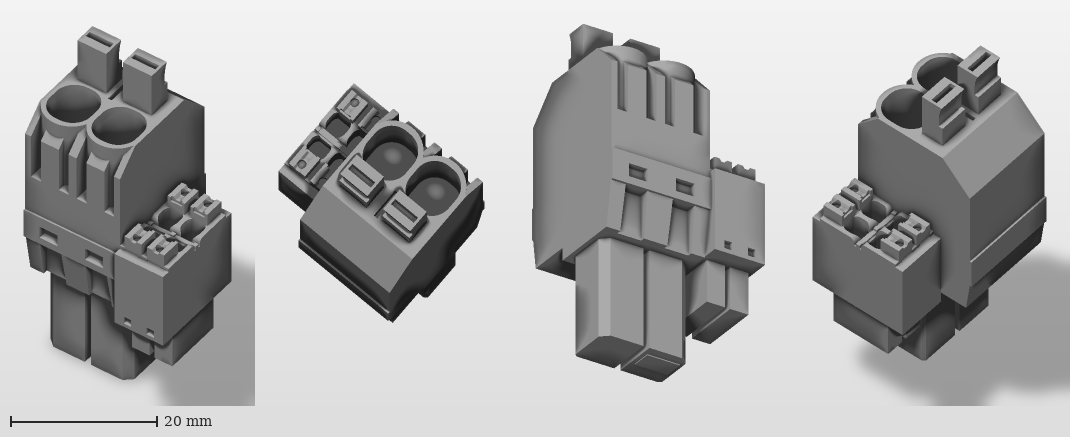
import cadquery as cq


POWER_WIDTH = 16.0
POWER_PITCH = 7.65
POWER_CENTERS = [(POWER_WIDTH - POWER_PITCH) / 2, (POWER_WIDTH + POWER_PITCH) / 2]
TOP_Z = 29.25
BACK_Y = 19.9
FRONT_CHAMFER = 3.55
BACK_CHAMFER = 4.85
BAND_BOTTOM_Z = 6.9
BAND_TOP_Z = 11.8
BAND_RISE = 0.3
SKIRT_TOP_INSET = 0.1
SKIRT_BOTTOM_INSET = 1.25
BACK_SKIRT_INSET = 0.7
BACK_STEP_Y = 12.4
BACK_STEP_Z = 2.0

ENTRY_Y = 5.65
ENTRY_LENGTH = 7.55
ENTRY_WIDTH = 6.85
ENTRY_CORNER_RADIUS = 3.0
COLLAR_Y = 5.2
COLLAR_RADIUS = 4.25
COLLAR_BOTTOM_Z = 18.25
POCKET_WIDTH = 6.3
POCKET_RIB_WIDTH = 3.0

SLIT_X = 7.65
SLIT_WIDTH = 0.6
SLIT_FRONT_Y = 9.2
SLIT_LENGTH = 4.55
SLIT_DEPTH = 1.55
WINDOW_WIDTH = 3.0
WINDOW_HEIGHT = 2.05
WINDOW_BOTTOM_Z = 8.0
WINDOW_DEPTH = 1.15
PANEL_TOP_WIDTH = 3.55
PANEL_BOTTOM_WIDTH = 3.85
PANEL_Y = 2.0

PLUG_LENGTH = 15.35
PLUG_WIDTH = 6.55
PLUG_GAP = 1.0
PLUG_FRONT_Y = 3.6
PLUG_BACK_Y = 11.0
PLUG_CHAMFER_X = 1.25
PLUG_CHAMFER_Y = 1.1
PLUG_BACK_CHAMFER = 0.4
TIP_WIDTH = 5.3
TIP_DEPTH = 3.2
TIP_FRONT_Y = 5.2
TIP_HEIGHT = 0.15

LEVER_WIDTH = 4.85
LEVER_FRONT_Y = 9.9
LEVER_BACK_Y = 13.6
LEVER_HEIGHT = 7.35
NOTCH_BOTTOM = 3.45
NOTCH_CURVE_START = 4.9
NOTCH_DEPTH = 0.7
NOTCH_LIP = 0.15
LEVER_SLOT_WIDTH = 4.05
LEVER_SLOT_THICKNESS = 0.95
LEVER_SLOT_DEPTH = 1.55

SIGNAL_WIDTH = 8.2
SIGNAL_PITCH = 3.8
SIGNAL_MID_X = POWER_WIDTH + SIGNAL_WIDTH / 2
SIGNAL_CENTERS = [SIGNAL_MID_X - SIGNAL_PITCH / 2, SIGNAL_MID_X + SIGNAL_PITCH / 2]
SIGNAL_FRONT_Y = -1.3
SIGNAL_DEPTH = 16.05
SIGNAL_MID_Y = SIGNAL_FRONT_Y + SIGNAL_DEPTH / 2
SIGNAL_BOTTOM_Z = 0.15
LEDGE_Z = 12.85
LEDGE_DEPTH = 1.3
DECK_Z = 13.45
DECK_HALF_DEPTH = SIGNAL_DEPTH / 2 - LEDGE_DEPTH
CHANNEL_WIDTH = 1.25
CHANNEL_DEPTH = 1.25
CHANNEL_FILLET = 0.8
CHANNEL_RIB_WIDTH = 0.6
CHANNEL_RIB_HEIGHT = 0.6
RIB_NOTCH_LENGTH = 3.15
RIB_NOTCH_DEPTH = 0.3
SIGNAL_ENTRY_OFFSET = 2.1
SIGNAL_ENTRY_LENGTH = 3.45
SIGNAL_ENTRY_WIDTH = 3.1
SIGNAL_ENTRY_CORNER_RADIUS = 1.35
SIGNAL_ENTRY_DEPTH = 4.15
SIGNAL_WINDOW_SIZE = 1.25
SIGNAL_WINDOW_BOTTOM_Z = 0.8
SIGNAL_WINDOW_DEPTH = 0.8
SIGNAL_PLUG_WIDTH = 2.95
SIGNAL_PLUG_DEPTH = 9.75
SIGNAL_PLUG_BOTTOM_Z = -6.4

SIGNAL_LEVER_WIDTH = 2.85
SIGNAL_LEVER_LENGTH = 3.3
SIGNAL_LEVER_TOP_Z = 15.55
SIGNAL_LEVER_GROOVE_TOP = 1.25
SIGNAL_LEVER_GROOVE_BOTTOM = 0.6
SIGNAL_LEVER_GROOVE_DEPTH = 0.4
SIGNAL_LEVER_HOLE_DIAMETER = 1.25
SIGNAL_LEVER_HOLE_INSET = 1.1
SIGNAL_LEVER_HOLE_DEPTH = 1.05
SIGNAL_LEVER_END_NOTCH_WIDTH = 1.9
SIGNAL_LEVER_END_NOTCH_LENGTH = 0.3
SIGNAL_LEVER_END_NOTCH_DEPTH = 0.8
SIGNAL_LEVER_FOOT_WIDTH = 2.2
SIGNAL_LEVER_FOOT_HEIGHT = 0.3
SIGNAL_LEVER_FOOT_DEPTH = 0.5


def block(x0, x1, y0, y1, z0, z1):
    """Box between two corners."""
    return cq.Workplane("XY").box(x1 - x0, y1 - y0, z1 - z0, centered=False).translate((x0, y0, z0))


def block_on(x_mid, width, y0, y1, z0, z1):
    """Box centred in X on x_mid; y0 and y1 may come in either order."""
    return block(x_mid - width / 2, x_mid + width / 2, min(y0, y1), max(y0, y1), z0, z1)


def cylinder(x, y, radius, z0, z1):
    """Upright cylinder between two heights."""
    return cq.Workplane("XY").circle(radius).extrude(z1 - z0).translate((x, y, z0))


def rounded_block(x, y, width, length, corner_radius, z0, z1):
    """Box centred on (x, y) with rounded upright corners."""
    box = block_on(x, width, y - length / 2, y + length / 2, z0, z1)
    return box.edges("|Z").fillet(corner_radius)


def power_body():
    """Side profile of the power section, extruded over its width."""
    profile = [
        (SKIRT_BOTTOM_INSET, 0),
        (SKIRT_TOP_INSET, BAND_BOTTOM_Z),
        (-BAND_RISE, BAND_BOTTOM_Z),
        (-BAND_RISE, BAND_TOP_Z),
        (0, BAND_TOP_Z),
        (0, TOP_Z - FRONT_CHAMFER),
        (FRONT_CHAMFER, TOP_Z),
        (BACK_Y - BACK_CHAMFER, TOP_Z),
        (BACK_Y, TOP_Z - BACK_CHAMFER),
        (BACK_Y, BAND_TOP_Z),
        (BACK_Y + BAND_RISE, BAND_TOP_Z),
        (BACK_Y + BAND_RISE, BAND_BOTTOM_Z),
        (BACK_Y, BAND_BOTTOM_Z),
        (BACK_Y - BACK_SKIRT_INSET, BACK_STEP_Z),
        (BACK_STEP_Y, BACK_STEP_Z),
        (BACK_STEP_Y, 0),
    ]
    return cq.Workplane("YZ").polyline(profile).close().extrude(POWER_WIDTH)


def add_collar(body, x):
    """Round collar standing in a front pocket that keeps a rib in the middle."""
    collar = cylinder(x, COLLAR_Y, COLLAR_RADIUS, COLLAR_BOTTOM_Z, TOP_Z)
    collar = collar.intersect(block(0, POWER_WIDTH, 0, BACK_Y, 0, TOP_Z))
    pocket = block_on(x, POCKET_WIDTH, 0, ENTRY_Y, COLLAR_BOTTOM_Z, TOP_Z)
    rib = block_on(x, POCKET_RIB_WIDTH, 0, ENTRY_Y, COLLAR_BOTTOM_Z, TOP_Z)
    return body.cut(pocket.cut(rib)).union(collar)


def power_entry(x):
    """Cutter for the wire hole in a collar."""
    return rounded_block(x, ENTRY_Y, ENTRY_WIDTH, ENTRY_LENGTH, ENTRY_CORNER_RADIUS, COLLAR_BOTTOM_Z, TOP_Z)


def skirt_panel(x):
    """Cutter for the recessed panel in the front skirt, slightly wider at the bottom."""
    outline = [
        (x - PANEL_BOTTOM_WIDTH / 2, 0),
        (x + PANEL_BOTTOM_WIDTH / 2, 0),
        (x + PANEL_TOP_WIDTH / 2, BAND_BOTTOM_Z),
        (x - PANEL_TOP_WIDTH / 2, BAND_BOTTOM_Z),
    ]
    return cq.Workplane("XZ").polyline(outline).close().extrude(-PANEL_Y)


def band_window(x):
    """Cutter for the test window in the front band."""
    back_y = WINDOW_DEPTH - BAND_RISE
    return block_on(x, WINDOW_WIDTH, -BAND_RISE, back_y, WINDOW_BOTTOM_Z, WINDOW_BOTTOM_Z + WINDOW_HEIGHT)


def power_plug(outer_x, inward):
    """Plug with chamfered outer edges; inward (+1 or -1) is the X direction to the other plug."""
    outline = [
        (outer_x + inward * PLUG_CHAMFER_X, PLUG_FRONT_Y),
        (outer_x + inward * PLUG_WIDTH, PLUG_FRONT_Y),
        (outer_x + inward * PLUG_WIDTH, PLUG_BACK_Y),
        (outer_x + inward * PLUG_BACK_CHAMFER, PLUG_BACK_Y),
        (outer_x, PLUG_BACK_Y - PLUG_BACK_CHAMFER),
        (outer_x, PLUG_FRONT_Y + PLUG_CHAMFER_Y),
    ]
    return cq.Workplane("XY").polyline(outline).close().extrude(-PLUG_LENGTH)


def make_power_section():
    body = power_body()
    for x in POWER_CENTERS:
        body = add_collar(body, x)
    for x in POWER_CENTERS:
        body = body.cut(power_entry(x))
        body = body.cut(skirt_panel(x)).cut(band_window(x))

    slit_back_y = SLIT_FRONT_Y + SLIT_LENGTH
    body = body.cut(block_on(SLIT_X, SLIT_WIDTH, SLIT_FRONT_Y, slit_back_y, TOP_Z - SLIT_DEPTH, TOP_Z))

    plug_reach = PLUG_GAP / 2 + PLUG_WIDTH
    body = body.union(power_plug(POWER_WIDTH / 2 - plug_reach, 1))
    body = body.union(power_plug(POWER_WIDTH / 2 + plug_reach, -1))

    tip = block_on(POWER_CENTERS[1], TIP_WIDTH, TIP_FRONT_Y, TIP_FRONT_Y + TIP_DEPTH,
                   -PLUG_LENGTH - TIP_HEIGHT, -PLUG_LENGTH)
    return body.union(tip)


def signal_deck():
    """Raised deck split by a round-edged channel, with a notched rib on the channel floor."""
    x_end = POWER_WIDTH + SIGNAL_WIDTH
    floor_z = DECK_Z - CHANNEL_DEPTH
    rib_z = floor_z + CHANNEL_RIB_HEIGHT
    y0 = SIGNAL_MID_Y - DECK_HALF_DEPTH
    y1 = SIGNAL_MID_Y + DECK_HALF_DEPTH
    channel_y0 = SIGNAL_MID_Y - CHANNEL_WIDTH / 2
    channel_y1 = SIGNAL_MID_Y + CHANNEL_WIDTH / 2

    front = block(POWER_WIDTH, x_end, y0, channel_y0, floor_z, DECK_Z)
    front = front.edges(">Y and >Z").fillet(CHANNEL_FILLET)
    back = block(POWER_WIDTH, x_end, channel_y1, y1, floor_z, DECK_Z)
    back = back.edges("<Y and >Z").fillet(CHANNEL_FILLET)

    rib_y0 = SIGNAL_MID_Y - CHANNEL_RIB_WIDTH / 2
    rib_y1 = SIGNAL_MID_Y + CHANNEL_RIB_WIDTH / 2
    rib = block(POWER_WIDTH, x_end, rib_y0, rib_y1, floor_z, rib_z)
    for x in SIGNAL_CENTERS:
        rib = rib.cut(block_on(x, RIB_NOTCH_LENGTH, rib_y0, rib_y1, rib_z - RIB_NOTCH_DEPTH, rib_z))
    return front.union(back).union(rib)


def signal_entry(x, side):
    """Cutter for a signal wire hole, ending flat at the channel and the lever."""
    channel_y = SIGNAL_MID_Y + side * CHANNEL_WIDTH / 2
    lever_y = SIGNAL_MID_Y + side * (DECK_HALF_DEPTH - SIGNAL_LEVER_LENGTH)
    bottom_z = DECK_Z - SIGNAL_ENTRY_DEPTH
    entry_y = SIGNAL_MID_Y + side * SIGNAL_ENTRY_OFFSET
    hole = rounded_block(x, entry_y, SIGNAL_ENTRY_WIDTH, SIGNAL_ENTRY_LENGTH, SIGNAL_ENTRY_CORNER_RADIUS,
                         bottom_z, DECK_Z)
    limits = block_on(x, SIGNAL_ENTRY_WIDTH, channel_y, lever_y, bottom_z, DECK_Z)
    return hole.intersect(limits)


def signal_lever_blank(x, side):
    """Plain lever block on the front (side -1) or back (side +1) row."""
    outer_y = SIGNAL_MID_Y + side * DECK_HALF_DEPTH
    inner_y = outer_y - side * SIGNAL_LEVER_LENGTH
    return block_on(x, SIGNAL_LEVER_WIDTH, outer_y, inner_y, LEDGE_Z, SIGNAL_LEVER_TOP_Z)


def make_signal_section():
    back_y = SIGNAL_FRONT_Y + SIGNAL_DEPTH
    floor_z = DECK_Z - CHANNEL_DEPTH
    x_end = POWER_WIDTH + SIGNAL_WIDTH
    body = block(POWER_WIDTH, x_end, SIGNAL_FRONT_Y, back_y, SIGNAL_BOTTOM_Z, floor_z)
    for y0 in [SIGNAL_FRONT_Y, back_y - LEDGE_DEPTH]:
        body = body.union(block(POWER_WIDTH, x_end, y0, y0 + LEDGE_DEPTH, floor_z, LEDGE_Z))
    body = body.union(signal_deck())

    plug_y0 = SIGNAL_MID_Y - SIGNAL_PLUG_DEPTH / 2
    plug_y1 = SIGNAL_MID_Y + SIGNAL_PLUG_DEPTH / 2
    for x in SIGNAL_CENTERS:
        body = body.union(block_on(
            x, SIGNAL_PLUG_WIDTH, plug_y0, plug_y1, SIGNAL_PLUG_BOTTOM_Z, SIGNAL_BOTTOM_Z))
        body = body.cut(block_on(
            x, SIGNAL_WINDOW_SIZE, SIGNAL_FRONT_Y, SIGNAL_FRONT_Y + SIGNAL_WINDOW_DEPTH,
            SIGNAL_WINDOW_BOTTOM_Z, SIGNAL_WINDOW_BOTTOM_Z + SIGNAL_WINDOW_SIZE))
        for side in [-1, 1]:
            body = body.cut(signal_entry(x, side)).cut(signal_lever_blank(x, side))
    return body


def make_housing():
    """Power and signal sections moulded as one piece."""
    return make_power_section().union(make_signal_section())


def make_power_lever(x):
    """Lever standing on the housing top, with a curved finger notch and a tool slot."""
    notch_y = LEVER_BACK_Y - NOTCH_DEPTH
    lever = (
        cq.Workplane("YZ")
        .moveTo(notch_y, NOTCH_BOTTOM)
        .lineTo(notch_y, NOTCH_CURVE_START)
        .tangentArcPoint((LEVER_BACK_Y - NOTCH_LIP, LEVER_HEIGHT), relative=False)
        .lineTo(LEVER_FRONT_Y, LEVER_HEIGHT)
        .lineTo(LEVER_FRONT_Y, 0)
        .lineTo(LEVER_BACK_Y, 0)
        .lineTo(LEVER_BACK_Y, NOTCH_BOTTOM)
        .close()
        .extrude(LEVER_WIDTH)
        .translate((x - LEVER_WIDTH / 2, 0, TOP_Z))
    )
    slot_y0 = (LEVER_FRONT_Y + LEVER_BACK_Y - LEVER_SLOT_THICKNESS) / 2
    slot_z = TOP_Z + LEVER_HEIGHT
    slot = block_on(x, LEVER_SLOT_WIDTH, slot_y0, slot_y0 + LEVER_SLOT_THICKNESS,
                    slot_z - LEVER_SLOT_DEPTH, slot_z)
    return lever.cut(slot)


def make_signal_lever(x, side):
    """Small lever with a tapered groove, a round tool hole and relieved ends."""
    outer_y = SIGNAL_MID_Y + side * DECK_HALF_DEPTH
    inner_y = outer_y - side * SIGNAL_LEVER_LENGTH
    groove_z = SIGNAL_LEVER_TOP_Z - SIGNAL_LEVER_GROOVE_DEPTH
    groove = (
        cq.Workplane("XZ", origin=(x, outer_y, 0))
        .polyline([
            (-SIGNAL_LEVER_GROOVE_TOP / 2, SIGNAL_LEVER_TOP_Z),
            (-SIGNAL_LEVER_GROOVE_BOTTOM / 2, groove_z),
            (SIGNAL_LEVER_GROOVE_BOTTOM / 2, groove_z),
            (SIGNAL_LEVER_GROOVE_TOP / 2, SIGNAL_LEVER_TOP_Z),
        ])
        .close()
        .extrude(side * SIGNAL_LEVER_LENGTH)
    )
    hole_y = outer_y - side * SIGNAL_LEVER_HOLE_INSET
    hole = cylinder(x, hole_y, SIGNAL_LEVER_HOLE_DIAMETER / 2,
                    SIGNAL_LEVER_TOP_Z - SIGNAL_LEVER_HOLE_DEPTH, SIGNAL_LEVER_TOP_Z)

    notch_y = inner_y + side * SIGNAL_LEVER_END_NOTCH_LENGTH
    end_notch = block_on(x, SIGNAL_LEVER_END_NOTCH_WIDTH, inner_y, notch_y,
                         SIGNAL_LEVER_TOP_Z - SIGNAL_LEVER_END_NOTCH_DEPTH, SIGNAL_LEVER_TOP_Z)

    foot_mid_x = x - (SIGNAL_LEVER_WIDTH - SIGNAL_LEVER_FOOT_WIDTH) / 2
    foot_y = outer_y - side * SIGNAL_LEVER_FOOT_DEPTH
    foot = block_on(foot_mid_x, SIGNAL_LEVER_FOOT_WIDTH, outer_y, foot_y,
                    LEDGE_Z, LEDGE_Z + SIGNAL_LEVER_FOOT_HEIGHT)
    return signal_lever_blank(x, side).cut(groove).cut(hole).cut(end_notch).cut(foot)


housing = make_housing()
power_levers = [make_power_lever(x) for x in POWER_CENTERS]
signal_levers = [make_signal_lever(x, side) for x in SIGNAL_CENTERS for side in [-1, 1]]

result = cq.Compound.makeCompound([
    housing.val(),
    *[lever.val() for lever in power_levers],
    *[lever.val() for lever in signal_levers],
])